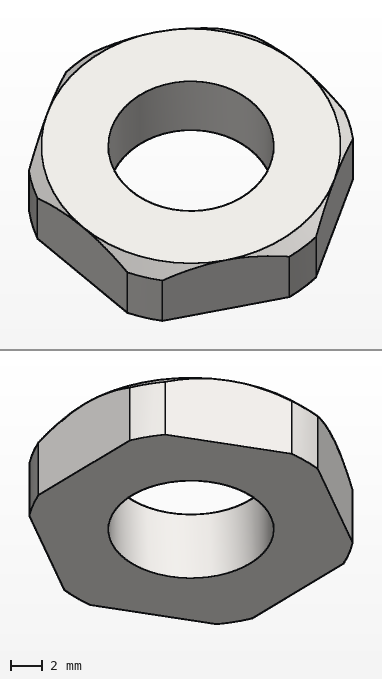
import cadquery as cq
import math

across_flats = 19.0
corner_diameter = 20.73
thickness = 5.0
bore_diameter = 10.5
chamfer_angle = 45.0

hexagon_corner_diameter = across_flats / math.cos(math.pi / 6)
top_face_radius = across_flats / 2
corner_radius = corner_diameter / 2
chamfer_height = (corner_radius - top_face_radius) * math.tan(math.radians(chamfer_angle))


def hexagon_body():
    """Hexagonal prism with corners on the X axis."""
    return cq.Workplane("XY").polygon(6, hexagon_corner_diameter).extrude(thickness)


def chamfered_blank():
    """Turned blank that rounds the corners and chamfers the top edge."""
    profile = [
        (0, 0),
        (corner_radius, 0),
        (corner_radius, thickness - chamfer_height),
        (top_face_radius, thickness),
        (0, thickness),
    ]
    return cq.Workplane("XZ").polyline(profile).close().revolve(360, (0, 0), (0, 1))


def bore():
    """Plain cylinder through the full thickness."""
    return cq.Workplane("XY").circle(bore_diameter / 2).extrude(thickness)


result = hexagon_body().intersect(chamfered_blank()).cut(bore())